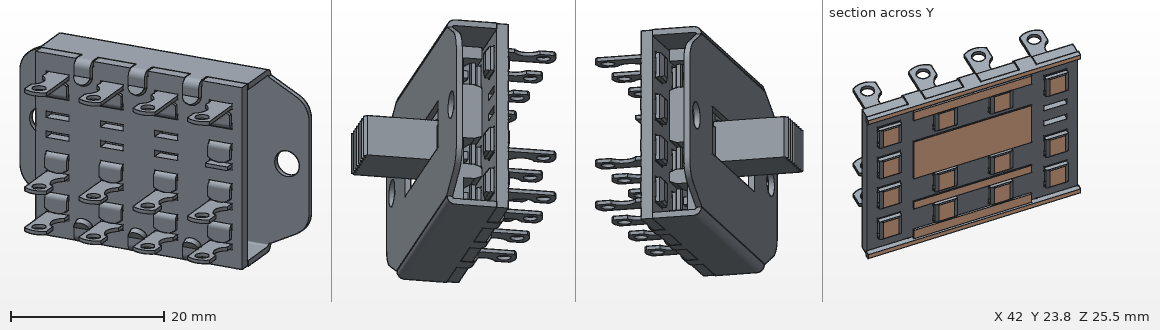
import cadquery as cq

SHEET = 0.8
FLANGE_LENGTH = 42.05
CHANNEL_LENGTH = 30.3
HEIGHT = 25.5
PLATE_OUTER_Y = 8.3
PLATE_INNER_Y = PLATE_OUTER_Y - SHEET
PLATE_STEP = 0.1
BEND_CREST_Y = PLATE_OUTER_Y - PLATE_STEP
BEND_RADIUS = 1.05
FLANGE_END_HALF_HEIGHT = 8.62
FLANGE_CORNER_RADIUS = 3.35
MOUNT_HOLE_DIAMETER = 3.58
MOUNT_HOLE_X = 17.85
HANDLE_SLOT_LENGTH = 20.0
HANDLE_SLOT_HEIGHT = 6.4

PITCH_X = 7.9
TAB_WIDTH = 2.35
TAB_FLARE_Z = 10.4
TAB_FLARE_LENGTH = 1.3
TAB_FLARE_ANGLE = 29.0

BOARD_LENGTH = 30.05
BOARD_HEIGHT = 25.4
BOARD_THICKNESS = 1.55
TAB_NOTCH_WIDTH = 2.6
SLOT_PITCH_Z = 2.78
SLOT_WIDTH = 3.32
INNER_SLOT_HEIGHT = 0.9
OUTER_SLOT_HEIGHT = 0.8
INNER_ROW_Z = 2.78
OUTER_ROW_Z = 8.4
TAB_COLUMNS = (-PITCH_X, 0, PITCH_X)
COLUMNS = [(i - 1.5) * PITCH_X for i in range(4)]

METAL = 0.5
CONTACT_WIDTH = 3.2
CONTACT_HEIGHT = 3.3
CONTACT_TOP_Y = 2.5
CONTACT_SHOULDER_Y = 2.05
CONTACT_CROWN_WIDTH = 1.25
CONTACT_CHAMFER = 0.35
HOLLOW_TOP_Y = 1.98
HOLLOW_HEIGHT = 2.85
HOLLOW_RADIUS = 0.38
LUG_OFFSET_Z = 1.25
LUG_TIP_Y = -7.0
LUG_HOLE_DIAMETER = 1.8
LUG_HOLE_Y = -5.4
LUG_NECK_Y = -2.85
LUG_NECK_HALF_LENGTH = 1.7
LUG_NECK_DEPTH = 1.0
END_SAGITTA = 0.55
CRIMP_BACK_Z = -1.75
CRIMP_END_Z = 0.85
CRIMP_BEND_RADIUS = 0.75
STUB_TIP_Y = -1.18

CARRIER_X = 0.2
CARRIER_LENGTH = 16.82
CARRIER_HEIGHT = 23.4
CARRIER_BOTTOM_Y = 2.0
CARRIER_TOP_Y = 6.4
COVER_TOP_Y = 6.77
COVER_LENGTH = CARRIER_LENGTH - 0.4
COVER_HEIGHT = 21.95
RAIL_TOP_Y = 7.05
RAIL_WIDTH = 1.55
GROOVE_FLOOR_Y = 4.45
GROOVE_WIDTH = 3.58
OUTER_GROOVE_Z = 8.3
MIDDLE_GROOVE_Z = -2.75
GROOVE_LEAD_Y = 3.0
GROOVE_LEAD = 0.38
HANDLE_LENGTH = 8.0
HANDLE_HEIGHT = 5.45
HANDLE_TIP_Y = 16.8
HANDLE_FOOT_LENGTH = 10.1
HANDLE_FOOT_HEIGHT = 3.95
HANDLE_FOOT_TOP_Y = 7.02
TOOTH_COUNT = 8
TOOTH_DEPTH = 0.45
DETENT_Z = 4.55
DETENT_HEIGHT = 2.7
DETENT_LENGTH = 6.75
DETENT_CREST = 2.52

CLIP_HEIGHT = 3.3
CLIP_FLOOR_LENGTH = 5.9
CLIP_REACH_LENGTH = 13.45
CLIP_LIP_Y = 3.03
CLIP_SHOULDER_Y = 3.3
CLIP_STEP = 0.25
STUD_HEIGHT = 1.0
STUD_BOTTOM_Y = 3.5
STUD_TOP_Y = 4.37

LUG_ROWS = [(OUTER_ROW_Z, 1), (-INNER_ROW_Z, -1), (-OUTER_ROW_Z, -1)]
SPARE_ROW = (INNER_ROW_Z, -1)

GROOVES = [(OUTER_GROOVE_Z, (-1,)), (MIDDLE_GROOVE_Z, (-1, 1)), (-OUTER_GROOVE_Z, (1,))]


def block(x_size, z_size, y_low, y_high, x=0.0, z=0.0):
    """Box centred on (x, z) that reaches from y_low to y_high."""
    box = cq.Workplane("XY").box(x_size, y_high - y_low, z_size)
    return box.translate((x, (y_low + y_high) / 2, z))


def rod(diameter, y_low, y_high, x, z):
    """Cylinder along Y."""
    disc = cq.Workplane("XZ", origin=(x, y_high, z)).circle(diameter / 2)
    return disc.extrude(y_high - y_low)


def mirrored_z(shape):
    return shape.union(shape.mirror("XY"))


def make_flange_plate():
    end_x = FLANGE_LENGTH / 2
    side_x = CHANNEL_LENGTH / 2
    side_z = HEIGHT / 2 - BEND_RADIUS
    end_z = FLANGE_END_HALF_HEIGHT
    outline = [
        (end_x, -end_z), (end_x, end_z), (side_x, side_z), (-side_x, side_z),
        (-end_x, end_z), (-end_x, -end_z), (-side_x, -side_z), (side_x, -side_z),
    ]
    plate = cq.Workplane("XZ", origin=(0, PLATE_OUTER_Y, 0)).polyline(outline).close().extrude(SHEET)
    plate = plate.edges("|Y and (<X or >X)").fillet(FLANGE_CORNER_RADIUS)
    for x in (-MOUNT_HOLE_X, MOUNT_HOLE_X):
        plate = plate.cut(rod(MOUNT_HOLE_DIAMETER, PLATE_INNER_Y, PLATE_OUTER_Y, x, 0))
    return plate


def make_tab():
    """Upper tab: folds over the board edge, then its round tip flares away from the board."""
    top_z = HEIGHT / 2
    arm = block(TAB_WIDTH, SHEET, -SHEET, BOARD_THICKNESS, z=top_z - SHEET / 2)
    drop = block(TAB_WIDTH, top_z - TAB_FLARE_Z, -SHEET, 0, z=(top_z + TAB_FLARE_Z) / 2)
    corner = cq.selectors.NearestToPointSelector((0, -SHEET, top_z))
    tab = arm.union(drop).edges(corner).fillet(BEND_RADIUS)
    half = TAB_WIDTH / 2
    round_start_z = TAB_FLARE_Z - TAB_FLARE_LENGTH + half
    tip = (
        cq.Workplane("XZ")
        .moveTo(-half, TAB_FLARE_Z)
        .lineTo(-half, round_start_z)
        .threePointArc((0, round_start_z - half), (half, round_start_z))
        .lineTo(half, TAB_FLARE_Z)
        .close()
        .extrude(SHEET)
    )
    tip = tip.rotate((0, 0, TAB_FLARE_Z), (1, 0, TAB_FLARE_Z), -TAB_FLARE_ANGLE)
    return tab.union(tip)


def make_bracket():
    channel = block(CHANNEL_LENGTH, HEIGHT, BOARD_THICKNESS, BEND_CREST_Y)
    channel = channel.edges("|X and >Y").fillet(BEND_RADIUS)
    inside = block(CHANNEL_LENGTH, HEIGHT - 2 * SHEET, BOARD_THICKNESS, PLATE_INNER_Y)
    inside = inside.edges("|X and >Y").fillet(BEND_RADIUS - SHEET)
    bracket = channel.cut(inside).union(make_flange_plate())
    bracket = bracket.cut(block(HANDLE_SLOT_LENGTH, HANDLE_SLOT_HEIGHT, PLATE_INNER_Y, PLATE_OUTER_Y))
    tabs = mirrored_z(make_tab())
    for x in TAB_COLUMNS:
        bracket = bracket.union(tabs.translate((x, 0, 0)))
    return bracket


def make_board():
    board = block(BOARD_LENGTH, BOARD_HEIGHT, 0, BOARD_THICKNESS)
    for x in TAB_COLUMNS:
        notch = block(TAB_NOTCH_WIDTH, SHEET, 0, BOARD_THICKNESS, x, HEIGHT / 2 - SHEET / 2)
        board = board.cut(mirrored_z(notch))
    for x in COLUMNS:
        for row_z, height in ((INNER_ROW_Z, INNER_SLOT_HEIGHT), (OUTER_ROW_Z, OUTER_SLOT_HEIGHT)):
            for z in (row_z - SLOT_PITCH_Z / 2, row_z + SLOT_PITCH_Z / 2):
                slot = block(SLOT_WIDTH, height, 0, BOARD_THICKNESS, x, z)
                board = board.cut(mirrored_z(slot))
    return board


def make_contact_head():
    """Tapered head of a fixed contact, resting on the inner face of the board."""
    foot = CONTACT_WIDTH / 2
    crown = CONTACT_CROWN_WIDTH / 2
    half_profile = [
        (foot, BOARD_THICKNESS),
        (foot, CONTACT_SHOULDER_Y),
        (crown, CONTACT_TOP_Y),
    ]
    profile = half_profile + [(-x, y) for x, y in reversed(half_profile)]
    head = cq.Workplane("XY").polyline(profile).close().extrude(CONTACT_HEIGHT / 2, both=True)
    return head.edges("|X and >Y").chamfer(CONTACT_CHAMFER)


def make_crimp():
    """Leg through the lower slot, folded up against the outer face of the board."""
    wall_z = CRIMP_BACK_Z + METAL / 2
    leg = block(CONTACT_WIDTH, METAL, -METAL, BOARD_THICKNESS, z=wall_z)
    half = CONTACT_WIDTH / 2
    shoulder_z = CRIMP_END_Z - END_SAGITTA
    flap = (
        cq.Workplane("XZ")
        .moveTo(-half, CRIMP_BACK_Z)
        .lineTo(half, CRIMP_BACK_Z)
        .lineTo(half, shoulder_z)
        .threePointArc((0, CRIMP_END_Z), (-half, shoulder_z))
        .close()
        .extrude(METAL)
    )
    corner = cq.selectors.NearestToPointSelector((0, -METAL, CRIMP_BACK_Z))
    return leg.union(flap).edges(corner).fillet(CRIMP_BEND_RADIUS)


def make_lug():
    """Solder lug with a round eye, an arc end and a neck cut into its -X edge."""
    half = CONTACT_WIDTH / 2
    shoulder_y = LUG_TIP_Y + END_SAGITTA
    lug = (
        cq.Workplane("XY", origin=(0, 0, LUG_OFFSET_Z))
        .moveTo(half, BOARD_THICKNESS)
        .lineTo(half, shoulder_y)
        .threePointArc((0, LUG_TIP_Y), (-half, shoulder_y))
        .lineTo(-half, LUG_NECK_Y - LUG_NECK_HALF_LENGTH)
        .threePointArc((LUG_NECK_DEPTH - half, LUG_NECK_Y), (-half, LUG_NECK_Y + LUG_NECK_HALF_LENGTH))
        .lineTo(-half, BOARD_THICKNESS)
        .close()
        .extrude(METAL / 2, both=True)
    )
    eye = cq.Workplane("XY", origin=(0, LUG_HOLE_Y, LUG_OFFSET_Z)).circle(LUG_HOLE_DIAMETER / 2)
    return lug.cut(eye.extrude(METAL, both=True))


def make_hollow():
    """Channel under the contact head that has neither crimp nor lug."""
    hollow = block(CONTACT_WIDTH, HOLLOW_HEIGHT, BOARD_THICKNESS, HOLLOW_TOP_Y)
    return hollow.edges("|X and >Y").fillet(HOLLOW_RADIUS)


def place_contact(contact, x, row):
    """Move a contact to its column and row; a row with its lugs below is turned about Y."""
    centre_z, lug_side = row
    if lug_side < 0:
        contact = contact.rotate((0, 0, 0), (0, 1, 0), 180)
    return contact.translate((x, 0, centre_z))


def make_contacts():
    head = make_contact_head()
    full = head.union(make_crimp()).union(make_lug())
    stub_leg = block(CONTACT_WIDTH, METAL, STUB_TIP_Y, BOARD_THICKNESS, z=LUG_OFFSET_Z)
    stub = head.union(make_crimp()).union(stub_leg)
    bare = head.cut(make_hollow())
    placed = [place_contact(full, x, row) for row in LUG_ROWS for x in COLUMNS]
    placed.append(place_contact(bare, COLUMNS[2], SPARE_ROW))
    placed.append(place_contact(stub, COLUMNS[3], SPARE_ROW))
    return placed


def make_groove(centre_z, lead_sides):
    """Groove along X; the listed sides get a sloped lead-in at the mouth."""
    groove = block(CARRIER_LENGTH, GROOVE_WIDTH, CARRIER_BOTTOM_Y, GROOVE_FLOOR_Y, CARRIER_X, centre_z)
    for side in lead_sides:
        wall_z = centre_z + side * GROOVE_WIDTH / 2
        lead = [
            (GROOVE_LEAD_Y, wall_z),
            (CARRIER_BOTTOM_Y, wall_z),
            (CARRIER_BOTTOM_Y, wall_z + side * GROOVE_LEAD),
        ]
        wedge = cq.Workplane("YZ", origin=(CARRIER_X, 0, 0)).polyline(lead).close()
        groove = groove.union(wedge.extrude(CARRIER_LENGTH / 2, both=True))
    return groove


def make_clip(centre_z):
    """Moving contact that bridges the two middle columns, with a stud through its sloped ends."""
    reach = CLIP_REACH_LENGTH / 2
    floor = CLIP_FLOOR_LENGTH / 2
    half_profile = [
        (reach, CONTACT_TOP_Y),
        (reach, CLIP_LIP_Y),
        (reach - CLIP_STEP, CLIP_LIP_Y),
        (reach - CLIP_STEP, CLIP_SHOULDER_Y),
        (floor, GROOVE_FLOOR_Y),
    ]
    profile = half_profile + [(-x, y) for x, y in reversed(half_profile)]
    clip = cq.Workplane("XY").polyline(profile).close().extrude(CLIP_HEIGHT / 2, both=True)
    stud = block(CLIP_REACH_LENGTH, STUD_HEIGHT, STUD_BOTTOM_Y, STUD_TOP_Y)
    return clip.union(stud).translate((CARRIER_X, 0, centre_z))


def make_handle():
    """Handle on the carrier cover, with serrations across its end face."""
    pitch = HANDLE_LENGTH / TOOTH_COUNT
    valley_y = HANDLE_TIP_Y - TOOTH_DEPTH
    left_x = CARRIER_X - HANDLE_LENGTH / 2
    outline = [(left_x + HANDLE_LENGTH, COVER_TOP_Y), (left_x, COVER_TOP_Y), (left_x, valley_y)]
    for i in range(TOOTH_COUNT):
        outline.append((left_x + (i + 0.5) * pitch, HANDLE_TIP_Y))
        outline.append((left_x + (i + 1) * pitch, valley_y))
    return cq.Workplane("XY").polyline(outline).close().extrude(HANDLE_HEIGHT / 2, both=True)


def make_ramp(base_length, crest_length, crest_y, height):
    """Ridge on the carrier cover, sloped at both X ends."""
    base = base_length / 2
    crest = crest_length / 2
    profile = [(-base, COVER_TOP_Y), (-crest, crest_y), (crest, crest_y), (base, COVER_TOP_Y)]
    ridge = cq.Workplane("XY").polyline(profile).close().extrude(height / 2, both=True)
    return ridge.translate((CARRIER_X, 0, 0))


def make_handle_foot():
    return make_ramp(HANDLE_FOOT_LENGTH, HANDLE_LENGTH, HANDLE_FOOT_TOP_Y, HANDLE_FOOT_HEIGHT)


def make_detent():
    """Detent spring that spans from the carrier cover to the bracket plate."""
    spring = make_ramp(DETENT_LENGTH, DETENT_CREST, PLATE_INNER_Y, DETENT_HEIGHT)
    return spring.translate((0, 0, DETENT_Z))


def make_carrier():
    carrier = block(CARRIER_LENGTH, CARRIER_HEIGHT, CARRIER_BOTTOM_Y, CARRIER_TOP_Y, CARRIER_X)
    cover = block(COVER_LENGTH, COVER_HEIGHT, CARRIER_TOP_Y, COVER_TOP_Y, CARRIER_X)
    rail_z = (COVER_HEIGHT - RAIL_WIDTH) / 2
    rail = block(COVER_LENGTH, RAIL_WIDTH, CARRIER_TOP_Y, RAIL_TOP_Y, CARRIER_X, rail_z)
    carrier = carrier.union(cover).union(mirrored_z(rail)).union(mirrored_z(make_detent()))
    for centre_z, lead_sides in GROOVES:
        carrier = carrier.cut(make_groove(centre_z, lead_sides))
    for centre_z, _ in LUG_ROWS:
        carrier = carrier.union(make_clip(centre_z))
    return carrier.union(make_handle_foot()).union(make_handle())


result = make_bracket().union(make_board()).union(make_carrier())
for contact in make_contacts():
    result = result.union(contact)